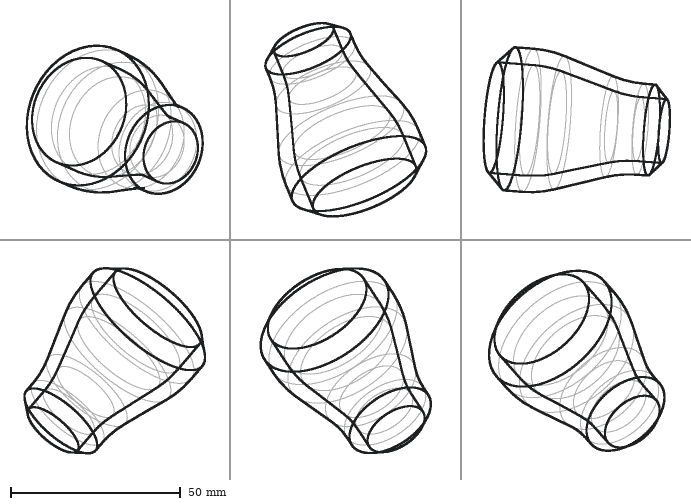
import cadquery as cq
import math

length = 51.0
large_outer_radius = 21.15
large_bore_radius = 16.3
small_outer_radius = 13.45
small_bore_radius = 9.45

outer_bend_start = 10.25
outer_bend_length = 9.35
outer_bend_end = 43.85

bore_bend_start = 10.75
bore_bend_length = 8.2
bore_bend_end = 43.35

large_bevel_length = 4.8
small_bevel_length = 3.75

ANGLE_ITERATIONS = 50


def bend_drop(bend_length, angle):
    """Radius change over an arc that turns from axial to the given slope angle."""
    return bend_length * math.tan(angle / 2)


def bend_radius_change(large_radius, small_radius, transition_length, bend_length):
    """Radius change over each bend, for two equal bends tangent to the cone between them."""
    cone_length = transition_length - 2 * bend_length
    angle = 0.0
    for _ in range(ANGLE_ITERATIONS):
        cone_drop = large_radius - small_radius - 2 * bend_drop(bend_length, angle)
        angle = math.atan2(cone_drop, cone_length)
    return bend_drop(bend_length, angle)


outer_change = bend_radius_change(
    large_outer_radius, small_outer_radius, outer_bend_end - outer_bend_start, outer_bend_length
)
bore_change = bend_radius_change(
    large_bore_radius, small_bore_radius, bore_bend_end - bore_bend_start, bore_bend_length
)

outer_cone_large = (outer_bend_start + outer_bend_length, large_outer_radius - outer_change)
outer_cone_small = (outer_bend_end - outer_bend_length, small_outer_radius + outer_change)
bore_cone_large = (bore_bend_start + bore_bend_length, large_bore_radius - bore_change)
bore_cone_small = (bore_bend_end - bore_bend_length, small_bore_radius + bore_change)

wall_section = (
    cq.Workplane("XZ")
    .moveTo(0, large_bore_radius)
    .lineTo(large_bevel_length, large_outer_radius)
    .lineTo(outer_bend_start, large_outer_radius)
    .tangentArcPoint(outer_cone_large, relative=False)
    .lineTo(*outer_cone_small)
    .tangentArcPoint((outer_bend_end, small_outer_radius), relative=False)
    .lineTo(length - small_bevel_length, small_outer_radius)
    .lineTo(length, small_bore_radius)
    .lineTo(bore_bend_end, small_bore_radius)
    .tangentArcPoint(bore_cone_small, relative=False)
    .lineTo(*bore_cone_large)
    .tangentArcPoint((bore_bend_start, large_bore_radius), relative=False)
    .close()
)

result = wall_section.revolve(360, (0, 0, 0), (1, 0, 0))